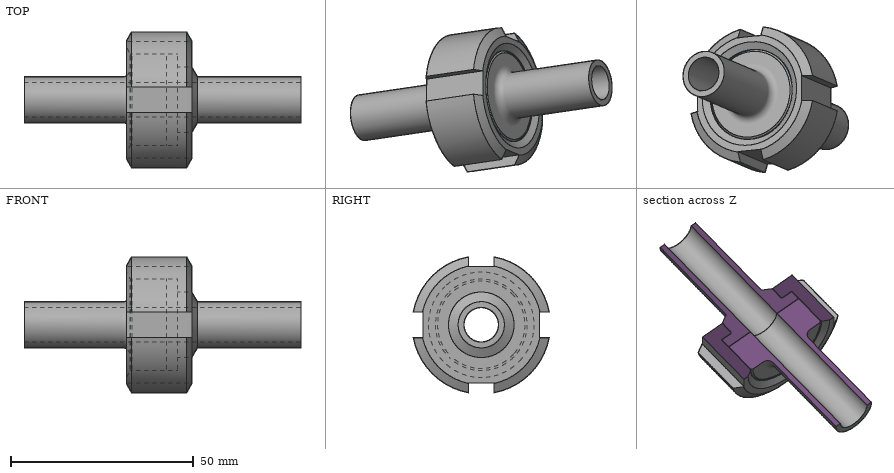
import cadquery as cq
import math


chamfer_slope = math.tan(math.radians(60))

overall_length = 76.0
tube_radius = 12.7 / 2
bore_radius = 9.4 / 2
left_end = -overall_length / 2
right_end = overall_length / 2

sleeve_radius = 18.0 / 2
nut_hole_radius = sleeve_radius

nut_radius = 38.0 / 2
nut_length = 18.0
nut_left = -10.0
nut_right = nut_left + nut_length
nut_bore_radius = 25.14 / 2
nut_shoulder = 4.0
outer_chamfer_depth = 2.5
outer_chamfer_length = outer_chamfer_depth / chamfer_slope
mouth_radius = 29.0 / 2
mouth_length = (mouth_radius - nut_bore_radius) / chamfer_slope
slot_count = 4
slot_width = 7.0
slot_floor_radius = 16.0

head_setback = 1.0
head_left = nut_left + head_setback
head_radius = nut_bore_radius
head_face_radius = 12.0
head_chamfer_size = head_radius - head_face_radius
root_fillet = 2.0

collar_thickness = 3.0
collar_right = nut_right - nut_shoulder
collar_left = collar_right - collar_thickness
cone_length = (sleeve_radius - tube_radius) / chamfer_slope


def revolve_about_x(profile):
    """Close a half section in the XY plane and turn it into a solid around the X axis."""
    return profile.close().revolve(360, (0, 0, 0), (1, 0, 0))


def make_spigot():
    """Tube with a fillet into a chamfered head that fills the nut bore."""
    fillet_reach = root_fillet * (1 - math.sqrt(0.5))
    profile = (
        cq.Workplane("XY")
        .moveTo(left_end, bore_radius)
        .lineTo(left_end, tube_radius)
        .lineTo(head_left - root_fillet, tube_radius)
        .threePointArc(
            (head_left - fillet_reach, tube_radius + fillet_reach),
            (head_left, tube_radius + root_fillet),
        )
        .lineTo(head_left, head_face_radius)
        .lineTo(head_left + head_chamfer_size, head_radius)
        .lineTo(collar_left, head_radius)
        .lineTo(collar_left, bore_radius)
    )
    return revolve_about_x(profile)


def make_liner():
    """Collar against the spigot head, sleeve through the nut, cone down to the tube."""
    profile = (
        cq.Workplane("XY")
        .moveTo(collar_left, bore_radius)
        .lineTo(collar_left, nut_bore_radius)
        .lineTo(collar_right, nut_bore_radius)
        .lineTo(collar_right, sleeve_radius)
        .lineTo(nut_right, sleeve_radius)
        .lineTo(nut_right + cone_length, tube_radius)
        .lineTo(right_end, tube_radius)
        .lineTo(right_end, bore_radius)
    )
    return revolve_about_x(profile)


def make_slot_cutter():
    """Block that cuts one flat-floored spanner slot along the top of the nut."""
    return (
        cq.Workplane("XY")
        .box(nut_length, slot_width, nut_radius, centered=(False, True, False))
        .translate((nut_left, 0, slot_floor_radius))
    )


def make_nut():
    """Chamfered ring with a stepped bore and evenly spaced spanner slots."""
    profile = (
        cq.Workplane("XY")
        .moveTo(nut_left, mouth_radius)
        .lineTo(nut_left, nut_radius - outer_chamfer_depth)
        .lineTo(nut_left + outer_chamfer_length, nut_radius)
        .lineTo(nut_right - outer_chamfer_length, nut_radius)
        .lineTo(nut_right, nut_radius - outer_chamfer_depth)
        .lineTo(nut_right, nut_hole_radius)
        .lineTo(collar_right, nut_hole_radius)
        .lineTo(collar_right, nut_bore_radius)
        .lineTo(nut_left + mouth_length, nut_bore_radius)
    )
    nut = revolve_about_x(profile)
    cutter = make_slot_cutter()
    for index in range(slot_count):
        angle = index * 360 / slot_count
        nut = nut.cut(cutter.rotate((0, 0, 0), (1, 0, 0), angle))
    return nut


spigot = make_spigot()
liner = make_liner()
nut = make_nut()

result = cq.Compound.makeCompound([spigot.val(), liner.val(), nut.val()])